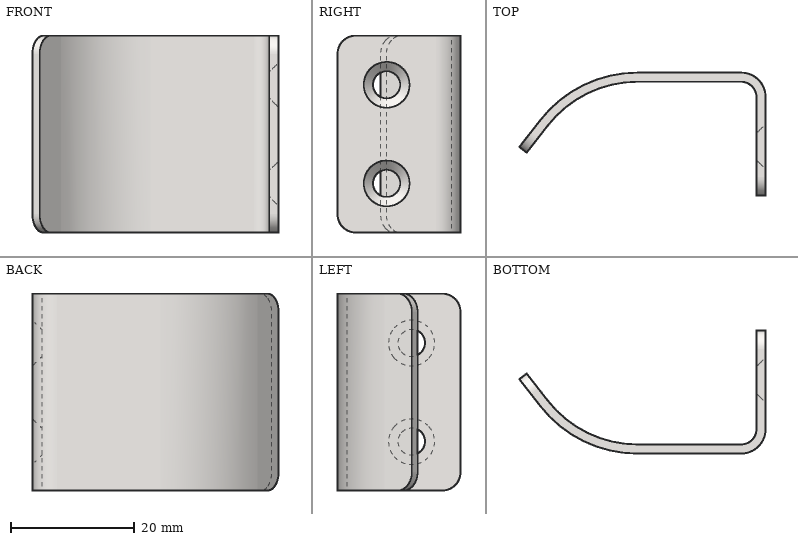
import cadquery as cq
import math

length = 40.0
flange_depth = 20.0
height = 32.0
thickness = 1.5

corner_bend_radius = 4.0
sweep_radius = 20.0
sweep_angle = math.radians(52.0)
sweep_start = 19.2

plate_corner_radius = 3.0

inner_hole_diameter = 4.4
hole_spacing = 16.0
hole_from_back = 12.0

lip_length = (sweep_start - sweep_radius * math.sin(sweep_angle)) / math.cos(sweep_angle)


def sweep_point(offset, angle):
    """Point on the sweep bend, offset inward from the outer face."""
    radius = sweep_radius - offset
    return (
        sweep_start - radius * math.sin(angle),
        -sweep_radius + radius * math.cos(angle),
    )


def lip_tip(offset):
    """End of the straight lip, offset inward from the outer face."""
    x, y = sweep_point(offset, sweep_angle)
    return (
        x - lip_length * math.cos(sweep_angle),
        y - lip_length * math.sin(sweep_angle),
    )


def bend_midpoint(radius):
    """Middle of the quarter bend between back wall and flange."""
    reach = radius * math.sqrt(0.5)
    return (length - corner_bend_radius + reach, -corner_bend_radius + reach)


def bent_sheet():
    inner_x = length - thickness
    bend_x = length - corner_bend_radius
    return (
        cq.Workplane("XY")
        .moveTo(*lip_tip(0))
        .lineTo(*sweep_point(0, sweep_angle))
        .threePointArc(sweep_point(0, sweep_angle / 2), sweep_point(0, 0))
        .lineTo(bend_x, 0)
        .threePointArc(bend_midpoint(corner_bend_radius), (length, -corner_bend_radius))
        .lineTo(length, -flange_depth)
        .lineTo(inner_x, -flange_depth)
        .lineTo(inner_x, -corner_bend_radius)
        .threePointArc(bend_midpoint(corner_bend_radius - thickness), (bend_x, -thickness))
        .lineTo(*sweep_point(thickness, 0))
        .threePointArc(
            sweep_point(thickness, sweep_angle / 2),
            sweep_point(thickness, sweep_angle),
        )
        .lineTo(*lip_tip(thickness))
        .close()
        .extrude(height)
    )


def round_end_corners(sheet, end_center):
    """Round the top and bottom corners of one free end of the sheet."""
    for z in (0, height):
        corner = cq.selectors.NearestToPointSelector((*end_center, z))
        sheet = sheet.edges(corner).fillet(plate_corner_radius)
    return sheet


def flange_holes():
    """Cutters for the holes, each a 45-degree cone that widens outward."""
    inner_radius = inner_hole_diameter / 2
    outer_radius = inner_radius + thickness
    inner_x = length - thickness
    profile = (
        cq.Workplane("XY", origin=(inner_x, -hole_from_back, 0))
        .lineTo(0, inner_radius)
        .lineTo(thickness, outer_radius)
        .lineTo(thickness, 0)
        .close()
    )
    cutter = profile.revolve(360, (0, 0, 0), (1, 0, 0))
    lower_z = (height - hole_spacing) / 2
    lower_hole = cutter.translate((0, 0, lower_z))
    upper_hole = cutter.translate((0, 0, lower_z + hole_spacing))
    return lower_hole.union(upper_hole)


lip_end = lip_tip(thickness / 2)
flange_end = (length - thickness / 2, -flange_depth)

result = bent_sheet()
result = round_end_corners(result, lip_end)
result = round_end_corners(result, flange_end)
result = result.cut(flange_holes())